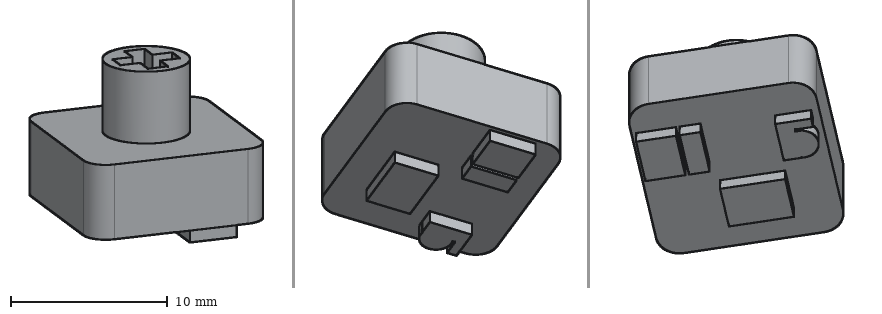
import cadquery as cq

body_x = 12.14
body_y = 12.2
body_height = 5.0
corner_radius = 1.52
stem_diameter = 5.6
stem_height = 4.8

cross_span = 4.07
cross_arm_width = 1.37
cross_depth = stem_height

pad_height = 0.9
rear_row_y = (0.72, 3.94)
front_row_y = (-3.84, -0.77)
narrow_pad_x = (1.59, 2.93)
end_pad_x = (3.17, 5.76)
wide_pad_x = (-3.03, 1.2)

lobe_diameter = 2.16
lobe_x = -4.59
lobe_y = rear_row_y[0] + lobe_diameter / 2
arm_x = (-5.55, -3.22)
arm_y = (3.03, 3.7)
spine_x = (-4.37, arm_x[1])


def pad(x_range, y_range):
    """Rectangular pad hanging from the underside of the body."""
    return (
        cq.Workplane("XY")
        .box(x_range[1] - x_range[0], y_range[1] - y_range[0], pad_height, centered=False)
        .translate((x_range[0], y_range[0], -pad_height))
    )


def lobed_pad():
    """Round lobe and top arm joined by a straight spine."""
    lobe = (
        cq.Workplane("XY")
        .center(lobe_x, lobe_y)
        .circle(lobe_diameter / 2)
        .extrude(-pad_height)
    )
    spine = pad(spine_x, (rear_row_y[0], arm_y[1]))
    return lobe.union(spine).union(pad(arm_x, arm_y))


def cross_socket():
    """Cross-shaped cutter reaching down from the top of the stem."""
    top = cq.Workplane("XY").workplane(offset=body_height + stem_height)
    along_x = top.rect(cross_span, cross_arm_width).extrude(-cross_depth)
    along_y = top.rect(cross_arm_width, cross_span).extrude(-cross_depth)
    return along_x.union(along_y)


body = (
    cq.Workplane("XY")
    .rect(body_x, body_y)
    .extrude(body_height)
    .edges("|Z")
    .fillet(corner_radius)
)
stem = (
    cq.Workplane("XY")
    .workplane(offset=body_height)
    .circle(stem_diameter / 2)
    .extrude(stem_height)
)

result = body.union(stem).cut(cross_socket()).union(lobed_pad())
result = result.union(pad(narrow_pad_x, rear_row_y))
result = result.union(pad(end_pad_x, rear_row_y))
result = result.union(pad(wide_pad_x, front_row_y))